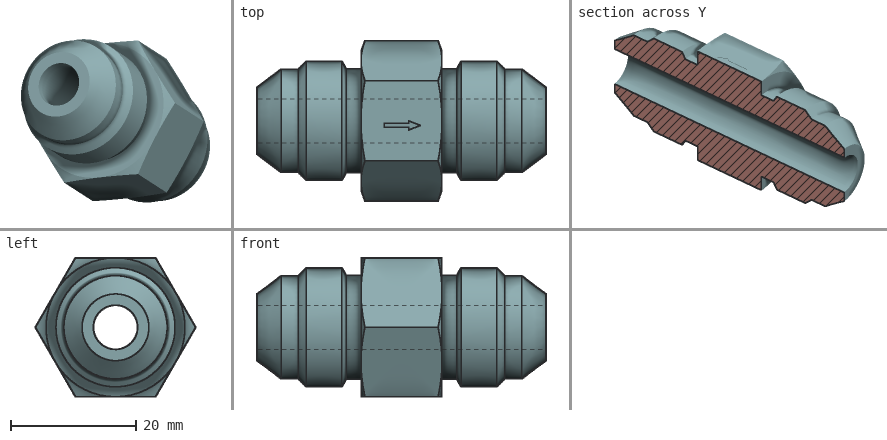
import cadquery as cq
import math

total_length = 46.25
hex_sides = 6
hex_across_corners = 25.65
hex_length = 12.95
hex_chamfer_angle = 20.0
bore_diameter = 7.05

seat_face_diameter = 10.7
seat_half_angle = 37.0
nose_diameter = 16.5
collar_diameter = 19.05
groove_diameter = 16.7

collar_front = 6.6
collar_back = 13.6
collar_back_angle = 60.0

arrow_length = 5.8
arrow_head_length = 1.9
arrow_head_width = 1.5
arrow_shaft_width = 0.65
arrow_center_x = 0.15
arrow_center_y = -0.75
arrow_depth = 0.1

hex_across_flats = hex_across_corners * math.cos(math.pi / hex_sides)
end_x = total_length / 2
hex_end_x = hex_length / 2


def revolve_about_x(points):
    """Solid of revolution about the X axis from an outline of (x, radius) points."""
    return cq.Workplane("XY").polyline(points).close().revolve(360, (0, 0, 0), (1, 0, 0))


def make_end():
    """Flared end on the +X side: groove, collar, nose and conical seat."""
    seat_radius = seat_face_diameter / 2
    nose_radius = nose_diameter / 2
    collar_radius = collar_diameter / 2
    groove_radius = groove_diameter / 2
    seat_length = (nose_radius - seat_radius) / math.tan(math.radians(seat_half_angle))
    front_chamfer = collar_radius - nose_radius
    back_length = (collar_radius - groove_radius) / math.tan(math.radians(collar_back_angle))
    return revolve_about_x([
        (0, 0),
        (0, groove_radius),
        (end_x - collar_back - back_length, groove_radius),
        (end_x - collar_back, collar_radius),
        (end_x - collar_front - front_chamfer, collar_radius),
        (end_x - collar_front, nose_radius),
        (end_x - seat_length, nose_radius),
        (end_x, seat_radius),
        (end_x, 0),
    ])


def make_hexagon():
    """Hexagon with corners on the Y axis, its corners turned off conically at both ends."""
    prism = (
        cq.Workplane("YZ")
        .polygon(hex_sides, hex_across_corners)
        .extrude(hex_length)
        .translate((-hex_end_x, 0, 0))
    )
    face_radius = hex_across_flats / 2
    outer_radius = hex_across_corners
    setback = (outer_radius - face_radius) * math.tan(math.radians(hex_chamfer_angle))
    envelope = revolve_about_x([
        (-hex_end_x, 0),
        (-hex_end_x, face_radius),
        (-hex_end_x + setback, outer_radius),
        (hex_end_x - setback, outer_radius),
        (hex_end_x, face_radius),
        (hex_end_x, 0),
    ])
    return prism.intersect(envelope)


def make_bore():
    """Through bore along the axis."""
    return (
        cq.Workplane("YZ")
        .circle(bore_diameter / 2)
        .extrude(total_length)
        .translate((-end_x, 0, 0))
    )


def make_arrow():
    """Cutter for the flow arrow, reaching down from the top flat."""
    tip_x = arrow_length / 2
    head_x = tip_x - arrow_head_length
    return (
        cq.Workplane("XY")
        .polyline([
            (-tip_x, -arrow_shaft_width / 2),
            (head_x, -arrow_shaft_width / 2),
            (head_x, -arrow_head_width / 2),
            (tip_x, 0),
            (head_x, arrow_head_width / 2),
            (head_x, arrow_shaft_width / 2),
            (-tip_x, arrow_shaft_width / 2),
        ])
        .close()
        .extrude(arrow_depth)
        .translate((arrow_center_x, arrow_center_y, hex_across_flats / 2 - arrow_depth))
    )


right_end = make_end()
left_end = right_end.mirror("YZ")
body = make_hexagon().union(right_end).union(left_end)
result = body.cut(make_bore()).cut(make_arrow())